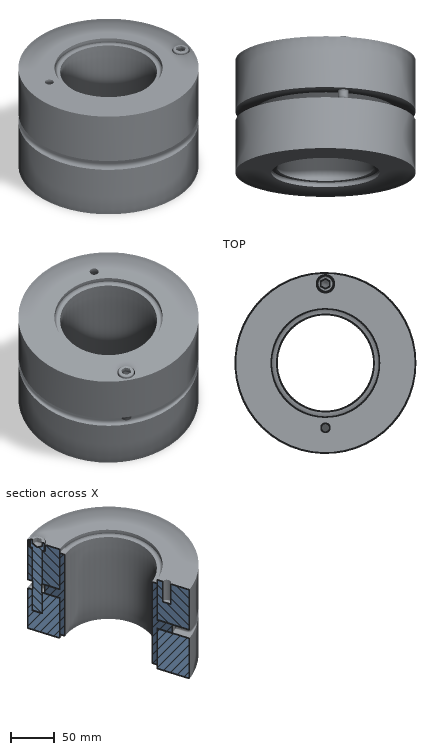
import cadquery as cq
import math

collar_diameter = 205.0
collar_height = 60.0
flange_diameter = 162.0
flange_height = 11.9
sleeve_diameter = 123.0
bore_diameter = 110.0
end_recess = 5.5

upper_collar_base = collar_height + flange_height
upper_collar_top = upper_collar_base + collar_height

screw_y = 90.0
head_diameter = 18.0
head_height = 12.0
head_protrusion = 2.0
head_fillet = 1.2
shank_diameter = 12.0
thread_engagement = 30.8
socket_width = 10.0
socket_depth = 6.0
socket_tip_angle = 120.0
counterbore_diameter = 20.0

head_top = upper_collar_top + head_protrusion
head_base = head_top - head_height
shank_end = collar_height - thread_engagement

blind_hole_diameter = 10.0
blind_hole_y = -73.5
blind_hole_depth = 30.0


def cylinder(diameter, bottom, top, y=0):
    """Vertical cylinder between two heights, centred at x = 0."""
    return cq.Workplane("XY", origin=(0, y, bottom)).circle(diameter / 2).extrude(top - bottom)


def make_collar(bottom):
    """Plain ring that fits over the sleeve."""
    top = bottom + collar_height
    return cylinder(collar_diameter, bottom, top).cut(cylinder(sleeve_diameter, bottom, top))


def make_lower_collar():
    screw_hole = cylinder(shank_diameter, shank_end, collar_height, screw_y)
    return make_collar(0).cut(screw_hole)


def make_upper_collar():
    screw_hole = cylinder(shank_diameter, upper_collar_base, upper_collar_top, screw_y)
    counterbore = cylinder(counterbore_diameter, head_base, upper_collar_top, screw_y)
    blind_hole = cylinder(
        blind_hole_diameter, upper_collar_top - blind_hole_depth, upper_collar_top, blind_hole_y
    )
    return make_collar(upper_collar_base).cut(screw_hole).cut(counterbore).cut(blind_hole)


def make_sleeve():
    """Bored sleeve whose central flange spaces the collars apart."""
    sleeve_top = upper_collar_top - end_recess
    tube = cylinder(sleeve_diameter, end_recess, sleeve_top)
    flange = cylinder(flange_diameter, collar_height, upper_collar_base)
    return tube.union(flange).cut(cylinder(bore_diameter, end_recess, sleeve_top))


def make_socket():
    """Hexagonal recess, corners along Y, ending in a conical drill point."""
    corner_radius = socket_width / 2 / math.cos(math.radians(30))
    tip_depth = corner_radius / math.tan(math.radians(socket_tip_angle / 2))
    corner_bottom = head_top - socket_depth
    tip_bottom = corner_bottom - tip_depth
    hexagon = (
        cq.Workplane("XY", origin=(0, screw_y, tip_bottom))
        .transformed(rotate=(0, 0, 90))
        .polygon(6, 2 * corner_radius)
        .extrude(head_top - tip_bottom)
    )
    drill = (
        cq.Workplane("XZ", origin=(0, screw_y, 0))
        .moveTo(0, tip_bottom)
        .lineTo(corner_radius, corner_bottom)
        .lineTo(corner_radius, head_top)
        .lineTo(0, head_top)
        .close()
        .revolve(360, (0, 0), (0, 1))
    )
    return hexagon.intersect(drill)


def make_screw():
    head = cylinder(head_diameter, head_base, head_top, screw_y).faces(">Z").fillet(head_fillet)
    shank = cylinder(shank_diameter, shank_end, head_base, screw_y)
    return head.union(shank).cut(make_socket())


lower_collar = make_lower_collar()
upper_collar = make_upper_collar()
sleeve = make_sleeve()
screw = make_screw()

result = cq.Compound.makeCompound(
    [lower_collar.val(), upper_collar.val(), sleeve.val(), screw.val()]
)